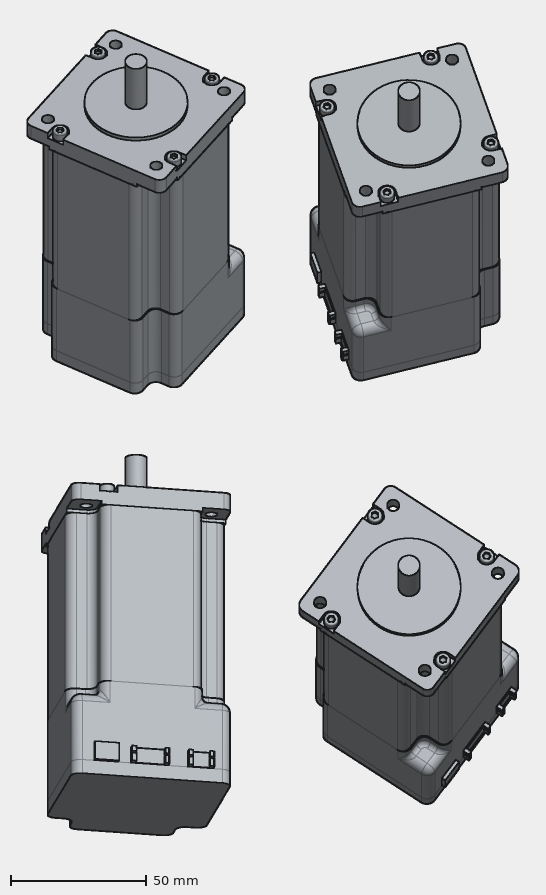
import cadquery as cq
import math

TOTAL_HEIGHT = 136.3
COVER_TOP = 5.5
REAR_HOUSING_TOP = 37.1
FLANGE_BOTTOM = 106.2
PLATE_BOTTOM = 107.5
PLATE_TOP = 114.1
BOSS_TOP = 115.7

HALF_WIDTH = 30.0
WIDTH = 2 * HALF_WIDTH
STATOR_ARM_HALF = 19.1
STATOR_INNER_RADIUS = 3.4
REAR_ARM_HALF = 19.5
REAR_INNER_RADIUS = 3.7
OUTER_RADIUS = 3.5
OUTER_FLAT_END = HALF_WIDTH - OUTER_RADIUS
PLATE_CORNER_RADIUS = 3.0

MARGIN = 0.1

POST_TOP = 32.2
POST_BLEND_RADIUS = 2.0

SHAFT_DIAMETER = 8.0
BOSS_DIAMETER = 38.2
MOUNT_HOLE_DIAMETER = 4.5
MOUNT_HOLE_OFFSET = 23.6

SCREW_OUT = 26.7
SCREW_ACROSS = 16.4
SCREW_COUNT = 4
SCREW_HEAD_DIAMETER = 5.5
SCREW_HEAD_BOTTOM = 111.5
SCREW_HEAD_TOP = 114.8
SCREW_SHANK_DIAMETER = 3.1
SOCKET_ACROSS_FLATS = 2.5
SOCKET_ACROSS_CORNERS = SOCKET_ACROSS_FLATS / math.cos(math.pi / 6)
SOCKET_DEPTH = 1.1
SOCKET_CONE_DEPTH = 0.7
SCREW_EDGE_RADIUS = 0.3
SCREW_NOTCH_WIDTH = 6.7

CONNECTOR_ROOT = 1.4
CONNECTOR_BOTTOM = COVER_TOP
CONNECTOR_TOP = 11.3
CONNECTOR_SPANS = [(-23.0, -13.4), (-6.1, 8.0)]
CLIP_THICKNESS = 1.6
CLIP_PROJECTION = 2.6
CLIP_CHAMFER = 0.4
CLIP_GAP_BOTTOM = 8.5
CLIP_GAP_TOP = 9.3
SOCKET_FACE_PROJECTION = 0.5
SIDE_BLOCK_LEFT = 12.8
SIDE_BLOCK_RIGHT = 21.8
SIDE_BLOCK_TOP = 12.4
SIDE_BLOCK_PROJECTION = 1.5


def prism(x_range, y_range, z_range):
    """Axis-aligned block between the given limits."""
    (x0, x1), (y0, y1), (z0, z1) = x_range, y_range, z_range
    return cq.Workplane("XY").box(x1 - x0, y1 - y0, z1 - z0, centered=False).translate((x0, y0, z0))


def cylinder(diameter, bottom, top):
    """Upright cylinder on the Z axis."""
    return cq.Workplane("XY").workplane(offset=bottom).circle(diameter / 2).extrude(top - bottom)


def notched_square(arm_half, inner_radius, bottom, top, outer_radius=0):
    """Square column with an L-shaped notch in each corner, leaving four broad arms."""
    height = top - bottom
    base = cq.Workplane("XY").workplane(offset=bottom)
    column = base.rect(WIDTH, 2 * arm_half).extrude(height)
    column = column.union(base.rect(2 * arm_half, WIDTH).extrude(height))
    near = arm_half + MARGIN
    inner = cq.selectors.BoxSelector((-near, -near, bottom), (near, near, top))
    column = column.edges("|Z").edges(inner).fillet(inner_radius)
    if outer_radius:
        for axis in ("<X", ">X", "<Y", ">Y"):
            column = column.faces(axis).edges("|Z").fillet(outer_radius)
    return column


def corner_post(side, bottom, top):
    """Block that fills the +Y notch on one side (-1 or 1), rounded on its outer vertical edge."""
    core = REAR_ARM_HALF - REAR_INNER_RADIUS
    outward = ">X" if side > 0 else "<X"
    x_range = sorted((side * core, side * HALF_WIDTH))
    post = prism(x_range, (core, HALF_WIDTH), (bottom, top))
    return post.faces(outward).edges("|Z").edges(">Y").fillet(OUTER_RADIUS)


def rear_housing():
    """Housing between cover and stator, with both +Y notches filled and blended up to POST_TOP."""
    housing = notched_square(REAR_ARM_HALF, REAR_INNER_RADIUS, COVER_TOP, REAR_HOUSING_TOP, OUTER_RADIUS)
    for side in (-1, 1):
        post = corner_post(side, COVER_TOP, POST_TOP)
        outward = ">X" if side > 0 else "<X"
        post = post.faces(">Z").edges(outward).fillet(OUTER_RADIUS)
        housing = housing.union(post)
    for side in (-1, 1):
        inner, outer = REAR_ARM_HALF - MARGIN, OUTER_FLAT_END - MARGIN
        x_near, x_far = sorted((side * inner, side * outer))
        lower_corner = (x_near, inner, POST_TOP - MARGIN)
        upper_corner = (x_far, outer, POST_TOP + MARGIN)
        foot = cq.selectors.BoxSelector(lower_corner, upper_corner)
        housing = housing.edges(foot).fillet(POST_BLEND_RADIUS)
    return housing


def rear_cover():
    """Base slice with the same outline as the housing above it."""
    cover = notched_square(REAR_ARM_HALF, REAR_INNER_RADIUS, 0, COVER_TOP, OUTER_RADIUS)
    for side in (-1, 1):
        cover = cover.union(corner_post(side, 0, COVER_TOP))
    return cover


def connectors():
    """Two sockets with split end clips, and a plain block beside them."""
    wall = HALF_WIDTH - CONNECTOR_ROOT
    parts = []
    for left, right in CONNECTOR_SPANS:
        face_y = (wall, HALF_WIDTH + SOCKET_FACE_PROJECTION)
        parts.append(prism((left, right), face_y, (CONNECTOR_BOTTOM, CONNECTOR_TOP)))
        clip_y = (wall, HALF_WIDTH + CLIP_PROJECTION)
        for clip_z in ((CONNECTOR_BOTTOM, CLIP_GAP_BOTTOM), (CLIP_GAP_TOP, CONNECTOR_TOP)):
            left_clip = prism((left, left + CLIP_THICKNESS), clip_y, clip_z)
            parts.append(left_clip.faces("<X").edges(">Y").chamfer(CLIP_CHAMFER))
            parts.append(prism((right - CLIP_THICKNESS, right), clip_y, clip_z))
    block_y = (wall, HALF_WIDTH + SIDE_BLOCK_PROJECTION)
    parts.append(prism((SIDE_BLOCK_LEFT, SIDE_BLOCK_RIGHT), block_y, (CONNECTOR_BOTTOM, SIDE_BLOCK_TOP)))
    return parts


def make_motor():
    """Cover, housing, connectors, stator and shaft as one solid; faces stay split at the cover joint."""
    motor = rear_housing()
    for part in connectors():
        motor = motor.union(part)
    stator_span = (REAR_HOUSING_TOP, FLANGE_BOTTOM)
    stator = notched_square(STATOR_ARM_HALF, STATOR_INNER_RADIUS, *stator_span, OUTER_RADIUS)
    shaft = cylinder(SHAFT_DIAMETER, FLANGE_BOTTOM, TOTAL_HEIGHT)
    for part in (stator, rear_cover(), shaft):
        motor = motor.union(part, clean=False)
    return motor


def around_flange(shape):
    """The copies of a shape placed at the -X screw, a quarter turn apart."""
    step = 360 / SCREW_COUNT
    return [shape.rotate((0, 0, 0), (0, 0, 1), i * step) for i in range(SCREW_COUNT)]


def make_flange():
    """Square mounting plate with boss, notched skirt, mounting holes and open screw notches."""
    plate = prism((-HALF_WIDTH, HALF_WIDTH), (-HALF_WIDTH, HALF_WIDTH), (PLATE_BOTTOM, PLATE_TOP))
    plate = plate.edges("|Z").fillet(PLATE_CORNER_RADIUS)
    skirt = notched_square(STATOR_ARM_HALF, STATOR_INNER_RADIUS, FLANGE_BOTTOM, PLATE_BOTTOM)
    flange = plate.union(skirt).union(cylinder(BOSS_DIAMETER, PLATE_TOP, BOSS_TOP))
    flange = flange.cut(cylinder(SHAFT_DIAMETER, FLANGE_BOTTOM, BOSS_TOP))
    mounts = cq.Workplane("XY").workplane(offset=FLANGE_BOTTOM)
    mounts = mounts.rect(2 * MOUNT_HOLE_OFFSET, 2 * MOUNT_HOLE_OFFSET, forConstruction=True).vertices()
    flange = flange.cut(mounts.circle(MOUNT_HOLE_DIAMETER / 2).extrude(PLATE_TOP - FLANGE_BOTTOM))
    half = SCREW_NOTCH_WIDTH / 2
    pocket = cylinder(SCREW_NOTCH_WIDTH, SCREW_HEAD_BOTTOM, PLATE_TOP)
    pocket = pocket.union(prism((-SCREW_NOTCH_WIDTH, 0), (-half, half), (SCREW_HEAD_BOTTOM, PLATE_TOP)))
    pocket = pocket.union(cylinder(SCREW_SHANK_DIAMETER, FLANGE_BOTTOM, SCREW_HEAD_BOTTOM))
    for notch in around_flange(pocket.translate((-SCREW_OUT, SCREW_ACROSS, 0))):
        flange = flange.cut(notch)
    return flange


def make_screw():
    """Socket-head screw at the -X side of the flange."""
    screw = cylinder(SCREW_HEAD_DIAMETER, SCREW_HEAD_BOTTOM, SCREW_HEAD_TOP)
    screw = screw.faces(">Z").edges().fillet(SCREW_EDGE_RADIUS)
    screw = screw.union(cylinder(SCREW_SHANK_DIAMETER, FLANGE_BOTTOM, SCREW_HEAD_BOTTOM))
    socket = cq.Workplane("XY").workplane(offset=SCREW_HEAD_TOP)
    socket = socket.polygon(6, SOCKET_ACROSS_CORNERS).extrude(-SOCKET_DEPTH)
    cone_bottom = SCREW_HEAD_TOP - SOCKET_DEPTH - SOCKET_CONE_DEPTH
    cone = cq.Solid.makeCone(0, SOCKET_ACROSS_FLATS / 2, SOCKET_CONE_DEPTH, pnt=cq.Vector(0, 0, cone_bottom))
    return screw.cut(socket).cut(cone).translate((-SCREW_OUT, SCREW_ACROSS, 0))


motor = make_motor()
flange = make_flange()
screws = around_flange(make_screw())

result = cq.Compound.makeCompound([motor.val(), flange.val(), *[screw.val() for screw in screws]])